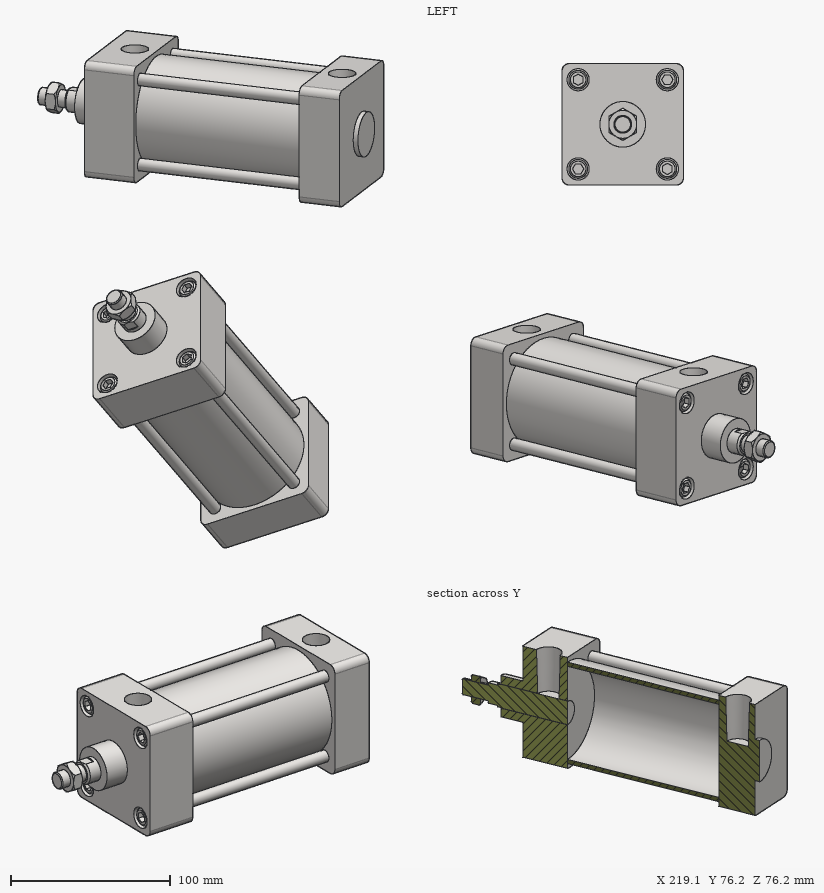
import cadquery as cq
import math


block_width = 76.2
block_corner_radius = 4.76
head_length = 33.3375
cap_length = 26.9875
hub_diameter = 28.57
front_hub_length = 15.875
rear_hub_length = 3.175

barrel_outer_diameter = 69.85
barrel_bore = 63.5
barrel_length = 111.125

port_mouth_diameter = 17.15
port_bottom_diameter = 15.28
port_taper = 1 / 16
head_port_x = 19.05
cap_port_offset = 13.9

rod_diameter = 15.88
rod_extension = 28.575
thread_diameter = 11.11
thread_length = 19.05
thread_tip_diameter = 9.74
shoulder_diameter = 13.46
wrench_flat_width = 14.29
wrench_flat_setback = 2.64

nut_across_flats = 17.46
nut_thickness = 6.95
nut_tip_gap = 6.6
nut_chamfer_height = 1.0

tie_rod_diameter = 7.94
tie_rod_offset = 27.9
tie_rod_engagement = 19.05
tie_head_diameter = 11.76
tie_head_height = 7.94
tie_head_top_diameter = 9.74
counterbore_diameter = 13.9
tie_head_recess = 0.75
socket_across_flats = 6.1
socket_depth = 4.0

barrel_start = head_length
cap_start = barrel_start + barrel_length
cap_end = cap_start + cap_length
hub_face = -front_hub_length
rod_tip = hub_face - rod_extension
rod_shoulder = rod_tip + thread_length
nut_start = rod_tip + nut_tip_gap
tie_head_seat = tie_head_recess + tie_head_height
tie_rod_end = cap_start + tie_rod_engagement

tie_rod_places = [
    (side_y * tie_rod_offset, side_z * tie_rod_offset, 90 if side_y == side_z else 0)
    for side_y in (-1, 1)
    for side_z in (-1, 1)
]


def plane_at(x, y=0.0, z=0.0):
    """Plane facing +X, with its local x along Y and its local y along Z."""
    return cq.Workplane(cq.Plane(origin=(x, y, z), xDir=(0, 1, 0), normal=(1, 0, 0)))


def cylinder(diameter, start, end, y=0.0, z=0.0):
    return plane_at(start, y, z).circle(diameter / 2).extrude(end - start)


def cone(start_diameter, end_diameter, start, end, y=0.0, z=0.0):
    profile = [
        (start, 0),
        (start, start_diameter / 2),
        (end, end_diameter / 2),
        (end, 0),
    ]
    solid = cq.Workplane("XY").polyline(profile).close().revolve(360, (0, 0, 0), (1, 0, 0))
    return solid.translate((0, y, z))


def hexagon(across_flats, start, end, y=0.0, z=0.0, first_corner_angle=0.0):
    across_corners = across_flats / math.cos(math.pi / 6)
    prism = plane_at(start).polygon(6, across_corners).extrude(end - start)
    return prism.rotate((0, 0, 0), (1, 0, 0), first_corner_angle).translate((0, y, z))


def end_block(start, end):
    block = plane_at(start).rect(block_width, block_width).extrude(end - start)
    return block.edges("|X").fillet(block_corner_radius)


def port(x):
    """Cutter for a tapered blind port in the top face."""
    depth = (port_mouth_diameter - port_bottom_diameter) / port_taper
    taper_angle = math.degrees(math.atan(port_taper / 2))
    mouth = cq.Workplane("XY", origin=(x, 0, block_width / 2)).circle(port_mouth_diameter / 2)
    return mouth.extrude(-depth, taper=taper_angle)


def make_head():
    head = end_block(0, head_length).union(cylinder(hub_diameter, hub_face, 0))
    head = head.cut(cylinder(rod_diameter, hub_face, head_length))
    for y, z, _ in tie_rod_places:
        head = head.cut(cylinder(counterbore_diameter, 0, tie_head_seat, y, z))
        head = head.cut(cylinder(tie_rod_diameter, tie_head_seat, head_length, y, z))
    return head.cut(port(head_port_x))


def make_cap():
    cap = end_block(cap_start, cap_end)
    cap = cap.union(cylinder(hub_diameter, cap_end, cap_end + rear_hub_length))
    for y, z, _ in tie_rod_places:
        cap = cap.cut(cylinder(tie_rod_diameter, cap_start, tie_rod_end, y, z))
    return cap.cut(port(cap_start + cap_port_offset))


def make_barrel():
    bore = cylinder(barrel_bore, barrel_start, cap_start)
    return cylinder(barrel_outer_diameter, barrel_start, cap_start).cut(bore)


def make_piston_rod():
    tip_chamfer = (thread_diameter - thread_tip_diameter) / 2
    shoulder_chamfer = (rod_diameter - shoulder_diameter) / 2
    chamfer_end = rod_shoulder + shoulder_chamfer
    flat_end = hub_face - wrench_flat_setback

    body = cylinder(rod_diameter, chamfer_end, head_length)
    body = body.union(cone(shoulder_diameter, rod_diameter, rod_shoulder, chamfer_end))
    flat_length = flat_end - rod_shoulder
    flat_cutter = plane_at(rod_shoulder).rect(2 * rod_diameter, 2 * rod_diameter)
    flat_cutter = flat_cutter.rect(2 * rod_diameter, wrench_flat_width).extrude(flat_length)
    body = body.cut(flat_cutter)

    thread = cylinder(thread_diameter, rod_tip + tip_chamfer, rod_shoulder)
    tip = cone(thread_tip_diameter, thread_diameter, rod_tip, rod_tip + tip_chamfer)
    return body.union(thread).union(tip)


def make_rod_nut():
    nut_end = nut_start + nut_thickness
    across_corners = nut_across_flats / math.cos(math.pi / 6)
    front_chamfer_end = nut_start + nut_chamfer_height
    rear_chamfer_start = nut_end - nut_chamfer_height
    envelope = cone(nut_across_flats, across_corners, nut_start, front_chamfer_end)
    envelope = envelope.union(cylinder(across_corners, front_chamfer_end, rear_chamfer_start))
    envelope = envelope.union(cone(across_corners, nut_across_flats, rear_chamfer_start, nut_end))
    nut = hexagon(nut_across_flats, nut_start, nut_end, first_corner_angle=90).intersect(envelope)
    return nut.cut(cylinder(thread_diameter, nut_start, nut_end))


def make_tie_rod(y, z, socket_angle):
    chamfer = (tie_head_diameter - tie_head_top_diameter) / 2
    chamfer_end = tie_head_recess + chamfer
    socket_end = tie_head_recess + socket_depth
    rod = cylinder(tie_rod_diameter, tie_head_seat, tie_rod_end, y, z)
    rod = rod.union(cylinder(tie_head_diameter, chamfer_end, tie_head_seat, y, z))
    rod = rod.union(cone(tie_head_top_diameter, tie_head_diameter, tie_head_recess, chamfer_end, y, z))
    return rod.cut(hexagon(socket_across_flats, tie_head_recess, socket_end, y, z, socket_angle))


head = make_head()
cap = make_cap()
barrel = make_barrel()
piston_rod = make_piston_rod()
rod_nut = make_rod_nut()
tie_rods = [make_tie_rod(y, z, angle) for y, z, angle in tie_rod_places]

result = cq.Compound.makeCompound(
    [
        head.val(),
        cap.val(),
        barrel.val(),
        piston_rod.val(),
        rod_nut.val(),
        *[tie_rod.val() for tie_rod in tie_rods],
    ]
)